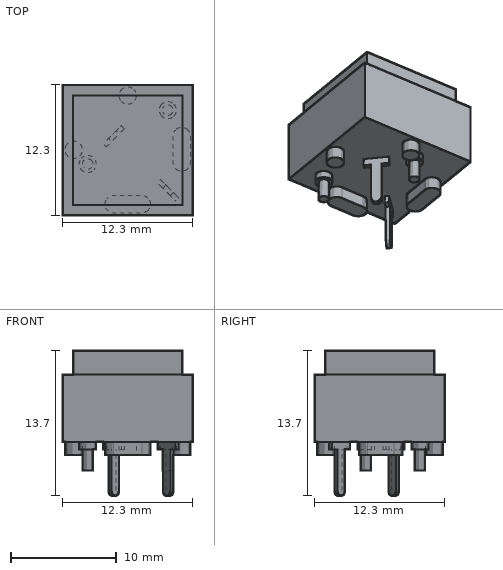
import cadquery as cq

housing_side = 12.32
housing_height = 6.35
button_margin = 1.0
button_side = housing_side - 2 * button_margin
button_height = 2.26

foot_diameter = 1.63
foot_height = 1.25
foot_offset = 5.1
bar_half_length = 2.15
side_bar_end_y = -1.98
side_stud_y = 0.04
rear_stud_y = 5.16

collar_diameter = 1.6
collar_height = 0.73
post_diameter = 0.99
post_length = 2.72
post_offset = 3.79
post_places = [(-post_offset, -1.3), (post_offset, post_offset)]

overall_height = 13.72
terminal_length = overall_height - housing_height - button_height
blade_width = 1.0
terminal_thickness = 0.41
shoulder_width = 2.41
shoulder_height = collar_height
terminal_places = [(3.81, -3.79, -45), (-1.32, 1.32, 45)]


def hanging_cylinder(x, y, diameter, length):
    """Round stud hanging from the housing underside."""
    return cq.Workplane("XY").center(x, y).circle(diameter / 2).extrude(-length)


def hanging_bar(x, y, length, angle):
    """Bar with round ends hanging from the housing underside."""
    return cq.Workplane("XY").center(x, y).slot2D(length, foot_diameter, angle).extrude(-foot_height)


def stepped_post(x, y):
    """Locating post with a collar at its root."""
    collar = hanging_cylinder(x, y, collar_diameter, collar_height)
    return collar.union(hanging_cylinder(x, y, post_diameter, post_length))


def make_housing():
    """Housing with its button, feet and locating posts."""
    body = cq.Workplane("XY").rect(housing_side, housing_side).extrude(housing_height)
    button = (
        cq.Workplane("XY")
        .workplane(offset=housing_height)
        .rect(button_side, button_side)
        .extrude(button_height)
    )
    body = body.union(button)

    body = body.union(hanging_cylinder(-foot_offset, side_stud_y, foot_diameter, foot_height))
    body = body.union(hanging_cylinder(0, rear_stud_y, foot_diameter, foot_height))

    body = body.union(hanging_bar(0, -foot_offset, 2 * bar_half_length, 0))
    side_bar_length = bar_half_length - side_bar_end_y
    side_bar_y = (bar_half_length + side_bar_end_y) / 2
    body = body.union(hanging_bar(foot_offset, side_bar_y, side_bar_length, 90))

    for x, y in post_places:
        body = body.union(stepped_post(x, y))
    return body


def make_terminal(x, y, angle):
    """Terminal touching the housing underside, turned about its own axis."""
    half_shoulder = shoulder_width / 2
    half_blade = blade_width / 2
    tip_start = -terminal_length + half_blade
    return (
        cq.Workplane("XZ")
        .moveTo(-half_shoulder, 0)
        .lineTo(half_shoulder, 0)
        .lineTo(half_shoulder, -shoulder_height)
        .lineTo(half_blade, -shoulder_height)
        .lineTo(half_blade, tip_start)
        .threePointArc((0, -terminal_length), (-half_blade, tip_start))
        .lineTo(-half_blade, -shoulder_height)
        .lineTo(-half_shoulder, -shoulder_height)
        .close()
        .extrude(terminal_thickness / 2, both=True)
        .rotate((0, 0, 0), (0, 0, 1), angle)
        .translate((x, y, 0))
    )


housing = make_housing()
terminals = [make_terminal(x, y, angle) for x, y, angle in terminal_places]

result = cq.Compound.makeCompound([housing.val(), *[terminal.val() for terminal in terminals]])